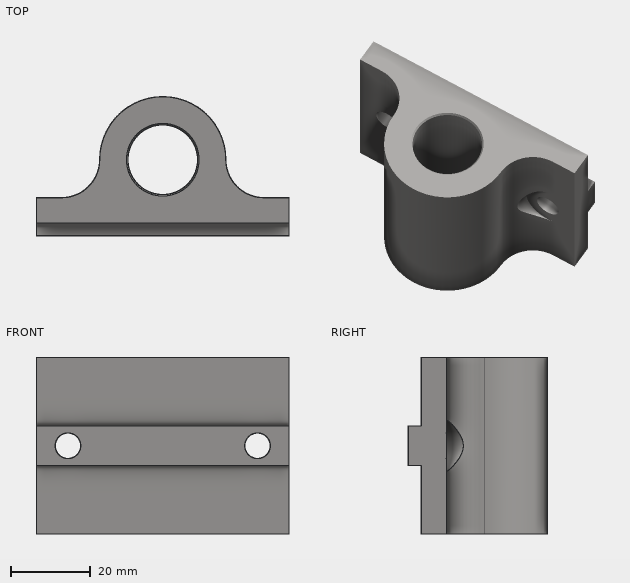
import cadquery as cq
import math

plate_width = 63.5
plate_thickness = 6.35
height = 44.45

tongue_depth = 3.3
tongue_height = 10.0

overall_depth = 35.03
boss_radius = 15.875
bore_diameter = 17.46
bore_chamfer = 0.4

hole_spacing = 47.625
hole_diameter = 6.35
spotface_diameter = 12.7

boss_y = overall_depth - tongue_depth - boss_radius
fillet_radius = boss_y - plate_thickness
fillet_start_x = boss_radius + fillet_radius
fillet_offset = fillet_radius * math.sin(math.radians(45))


def make_body():
    """Plate and boss in one profile, blended by quarter-round fillets."""
    half_width = plate_width / 2
    fillet_mid_x = fillet_start_x - fillet_offset
    fillet_mid_y = boss_y - fillet_offset
    return (
        cq.Workplane("XY", origin=(0, 0, -height / 2))
        .moveTo(-half_width, 0)
        .lineTo(half_width, 0)
        .lineTo(half_width, plate_thickness)
        .lineTo(fillet_start_x, plate_thickness)
        .threePointArc((fillet_mid_x, fillet_mid_y), (boss_radius, boss_y))
        .threePointArc((0, boss_y + boss_radius), (-boss_radius, boss_y))
        .threePointArc((-fillet_mid_x, fillet_mid_y), (-fillet_start_x, plate_thickness))
        .lineTo(-half_width, plate_thickness)
        .close()
        .extrude(height)
    )


def make_tongue():
    """Full-width rib on the front face, centred in height."""
    tongue = cq.Workplane("XY").box(plate_width, tongue_depth, tongue_height)
    return tongue.translate((0, -tongue_depth / 2, 0))


def make_bore():
    """Through bore with a small chamfer at both mouths."""
    bore_radius = bore_diameter / 2
    mouth_radius = bore_radius + bore_chamfer
    half_height = height / 2
    return (
        cq.Workplane("XZ")
        .moveTo(0, -half_height)
        .lineTo(mouth_radius, -half_height)
        .lineTo(bore_radius, -half_height + bore_chamfer)
        .lineTo(bore_radius, half_height - bore_chamfer)
        .lineTo(mouth_radius, half_height)
        .lineTo(0, half_height)
        .close()
        .revolve(360, (0, 0), (0, 1))
        .translate((0, boss_y, 0))
    )


def make_cylinder(diameter, x, start_y, end_y):
    """Cylinder along Y, centred in height."""
    return cq.Workplane("XZ", origin=(x, start_y, 0)).circle(diameter / 2).extrude(start_y - end_y)


def make_mounting_hole(x):
    """Through hole plus the spotface that clears the fillet behind the plate."""
    rear_y = boss_y + boss_radius
    hole = make_cylinder(hole_diameter, x, rear_y, -tongue_depth)
    spotface = make_cylinder(spotface_diameter, x, rear_y, plate_thickness)
    return hole.union(spotface)


result = make_body().union(make_tongue()).cut(make_bore())
for hole_x in (-hole_spacing / 2, hole_spacing / 2):
    result = result.cut(make_mounting_hole(hole_x))